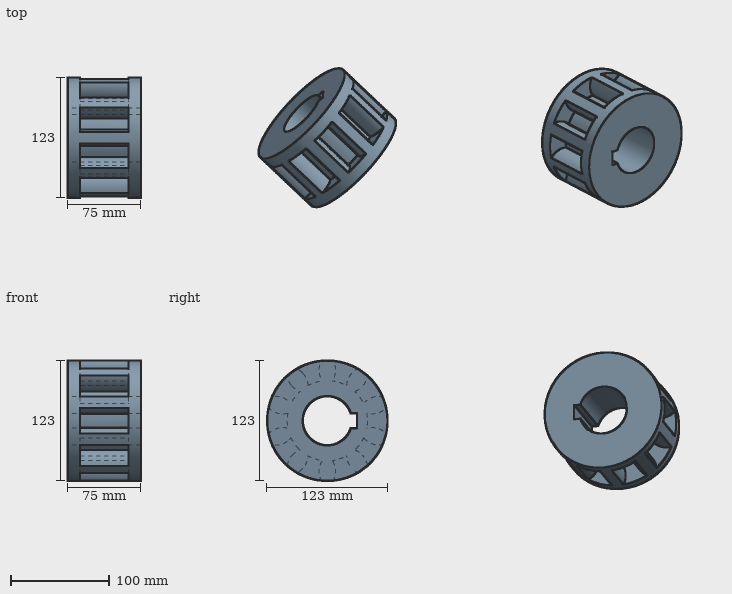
import cadquery as cq
import math

outer_radius = 61.5
width = 75.0
rim_width = 12.9
bore_radius = 25.0
key_width = 15.0
key_reach = 30.3

gap_count = 10
floor_radius = 41.0
floor_half_width = 7.6
waist_height = 47.4
waist_half_width = 7.0
mouth_half_width = 13.2

gap_length = width - 2 * rim_width
floor_edge_height = math.sqrt(floor_radius**2 - floor_half_width**2)
mouth_height = math.sqrt(outer_radius**2 - mouth_half_width**2)
clear_height = outer_radius + 1.2


def make_hub():
    """Solid cylinder along X, centred on the origin."""
    return cq.Workplane("YZ").circle(outer_radius).extrude(width / 2, both=True)


def make_bore():
    """Shaft bore with its keyway on the +Y side."""
    bore = cq.Workplane("YZ").circle(bore_radius).extrude(width / 2, both=True)
    keyway = cq.Workplane("XY").box(width, key_reach, key_width).translate((0, key_reach / 2, 0))
    return bore.union(keyway)


def make_gap():
    """Cutter for one gap on the +Y side: domed floor and bulging tooth flanks."""
    return (
        cq.Workplane("YZ")
        .moveTo(floor_edge_height, -floor_half_width)
        .threePointArc((floor_radius, 0), (floor_edge_height, floor_half_width))
        .threePointArc((waist_height, waist_half_width), (mouth_height, mouth_half_width))
        .lineTo(clear_height, mouth_half_width)
        .lineTo(clear_height, -mouth_half_width)
        .lineTo(mouth_height, -mouth_half_width)
        .threePointArc((waist_height, -waist_half_width), (floor_edge_height, -floor_half_width))
        .close()
        .extrude(gap_length / 2, both=True)
    )


result = make_hub().cut(make_bore())
gap = make_gap()
for index in range(gap_count):
    result = result.cut(gap.rotate((0, 0, 0), (1, 0, 0), index * 360 / gap_count))